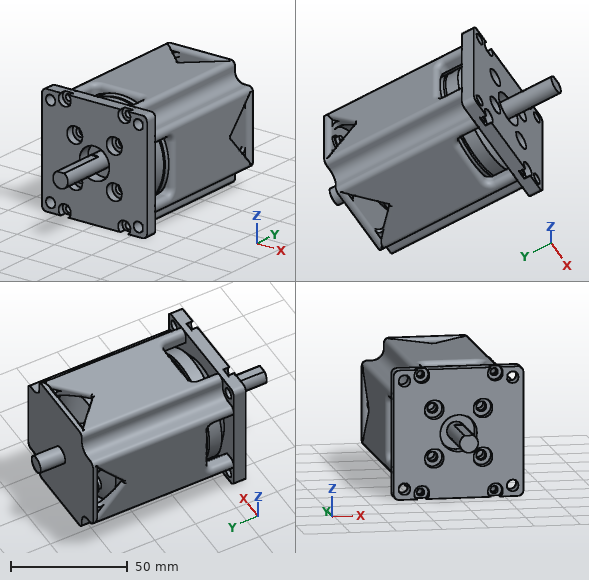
import cadquery as cq
import math


housing_width = 56.4
half_width = housing_width / 2
housing_length = 75.0
flange_thickness = 6.0
rear_wall = 3.0
cavity_end = housing_length - rear_wall
cavity_diameter = 52.0
edge_radius = 2.4

corner_hole_offset = 23.5
corner_hole_diameter = 5.0
channel_radius = 5.0
shaft_bore_diameter = 16.0
mount_circle_diameter = 30
mount_hole_diameter = 4.3
mount_head_diameter = 8.2
mount_head_depth = 4.0
cover_screw_x = 16.0
cover_screw_z = 25.6
cover_head_diameter = 6.5
cover_head_depth = 3.0
cover_hole_diameter = 3.2
cover_thread_diameter = 2.7
cover_thread_depth = 15.5
drill_tip_angle = 118

front_window_half_width = 13.4
front_window_end = 18.3
front_window_corner_radius = 3.0
rear_window_apex_y = 58.4
rear_window_apex_half_width = 1.0
rear_window_slope = 42.3
rear_wall_lip_radius = 2.0
sloping_lip_radius = 1.3
rear_window_corner_radius = 1.9
window_depth = 8.9

stud_x = -22.2
stud_diameter = 6.1
stud_length = 2.8
stud_hole_diameter = 2.7
stud_foot_diameter = 8.0
stud_foot_length = 1.0

shaft_diameter = 8.0
shaft_front_length = 24.0
shaft_rear_length = 12.0
shaft_flat_depth = 0.5
can_diameter = 50
base_end_diameter = 40
base_cone_end = 10.0
base_end = 16.1
can_start = 17.1
groove_diameter = 44.4
can_cone_start = 62.0
can_end = 67.2
can_end_diameter = 30
hub_diameter = 14.0
hub_end = 71.0
mount_thread_diameter = 4.0
mount_thread_depth = 5.0

QUADRANTS = [(sx, sz) for sx in (-1, 1) for sz in (-1, 1)]


def cylinder_y(diameter, start, end, x=0.0, z=0.0):
    """Cylinder parallel to Y between two Y positions."""
    return cq.Workplane(cq.Solid.makeCylinder(
        diameter / 2, end - start, cq.Vector(x, start, z), cq.Vector(0, 1, 0)))


def cone_y(start_diameter, end_diameter, start, end, x=0.0, z=0.0):
    """Cone parallel to Y between two Y positions."""
    return cq.Workplane(cq.Solid.makeCone(
        start_diameter / 2, end_diameter / 2, end - start, cq.Vector(x, start, z), cq.Vector(0, 1, 0)))


def square_block(start, end):
    return (
        cq.Workplane("XY")
        .box(housing_width, end - start, housing_width, centered=(True, False, True))
        .translate((0, start, 0))
    )


def flange():
    return square_block(0, flange_thickness).edges("|Y").fillet(edge_radius)


def shell_body():
    """Square bar with a rounded channel along each corner, in line with the corner holes."""
    body = square_block(flange_thickness, housing_length)
    channel_wall = corner_hole_offset - channel_radius
    channel_size = 2 * (half_width - channel_wall)
    channel = (
        cq.Workplane("XY")
        .box(channel_size, housing_length, channel_size, centered=(True, False, True))
        .edges("|Y").fillet(channel_radius)
    )
    for sx, sz in QUADRANTS:
        body = body.cut(channel.translate((sx * half_width, 0, sz * half_width)))
    return body.faces(">X or <X or >Z or <Z").edges("|Y").fillet(edge_radius)


def front_window():
    """Rounded window in the +Z side next to the flange, with a rounded lip at the outer face."""
    window_floor = half_width - window_depth
    block = (
        cq.Workplane("XY", origin=(0, 0, window_floor))
        .rect(housing_width, housing_width)
        .extrude(window_depth)
    )
    window = (
        cq.Workplane("XY", origin=(0, 0, window_floor))
        .rect(2 * front_window_half_width, 2 * front_window_end)
        .extrude(window_depth)
        .edges("|Z").fillet(front_window_corner_radius)
    )
    around_window = cq.selectors.BoxSelector(
        (-front_window_half_width - edge_radius, -front_window_end - edge_radius, 0),
        (front_window_half_width + edge_radius, front_window_end + edge_radius, housing_width))
    frame = block.cut(window).faces(">Z").edges(around_window).fillet(edge_radius)
    return block.cut(frame).intersect(square_block(flange_thickness, housing_length))


def lip_region(edge_x, edge_y, direction, lip_radius):
    """Space on one side of a straight wall in the +Z face, widened by a rounded lip.

    The lip meets the outer face at (edge_x, edge_y); the space extends away from the wall,
    in the given direction in degrees from +X.
    """
    region = (
        cq.Workplane("XZ")
        .moveTo(0, 0)
        .radiusArc((lip_radius, -lip_radius), lip_radius)
        .lineTo(lip_radius, -window_depth)
        .lineTo(housing_length, -window_depth)
        .lineTo(housing_length, 0)
        .close()
        .extrude(housing_length, both=True)
    )
    return region.rotate((0, 0, 0), (0, 0, 1), direction).translate((edge_x, edge_y, half_width))


def rear_window():
    """Triangular window in the +Z side: its base lies along the rear wall, its tip points to the flange."""
    right_side = 90 + rear_window_slope
    left_side = 90 - rear_window_slope
    window = (
        lip_region(0, cavity_end + rear_wall_lip_radius, -90, rear_wall_lip_radius)
        .intersect(lip_region(0, rear_window_apex_y, 90, sloping_lip_radius))
        .intersect(lip_region(rear_window_apex_half_width, rear_window_apex_y, right_side, sloping_lip_radius))
        .intersect(lip_region(-rear_window_apex_half_width, rear_window_apex_y, left_side, sloping_lip_radius))
    )
    below_lips = half_width - max(rear_wall_lip_radius, sloping_lip_radius)
    straight_part = window.intersect(
        cq.Workplane("XY", origin=(0, 0, below_lips))
        .rect(2 * housing_length, 2 * housing_length)
        .extrude(-window_depth)
    )
    rounded_part = straight_part.edges("|Z").edges(">X or <X").fillet(rear_window_corner_radius)
    return window.cut(straight_part).union(rounded_part)


def cover_screw_hole(x, z):
    """Counterbored blind hole with a drill tip."""
    tip_length = cover_thread_diameter / 2 / math.tan(math.radians(drill_tip_angle / 2))
    return (
        cylinder_y(cover_head_diameter, 0, cover_head_depth, x, z)
        .union(cylinder_y(cover_hole_diameter, 0, flange_thickness, x, z))
        .union(cylinder_y(cover_thread_diameter, 0, cover_thread_depth, x, z))
        .union(cone_y(cover_thread_diameter, 0, cover_thread_depth, cover_thread_depth + tip_length, x, z))
    )


def mount_positions():
    offset = mount_circle_diameter / 2 * math.sqrt(0.5)
    return [(sx * offset, sz * offset) for sx, sz in QUADRANTS]


def rear_stud():
    """Stepped stud with a hole down its middle, standing on the rear wall."""
    stud_end = cavity_end - stud_length
    return (
        cylinder_y(stud_diameter, stud_end, cavity_end, stud_x)
        .union(cylinder_y(stud_foot_diameter, cavity_end - stud_foot_length, cavity_end, stud_x))
        .cut(cylinder_y(stud_hole_diameter, stud_end, cavity_end, stud_x))
    )


def make_housing():
    body = shell_body()
    for turn in range(4):
        for window in (front_window(), rear_window()):
            body = body.cut(window.rotate((0, 0, 0), (0, 1, 0), 90 * turn))
    body = body.cut(cylinder_y(cavity_diameter, flange_thickness, cavity_end))
    body = body.union(flange())

    body = body.cut(cylinder_y(shaft_bore_diameter, 0, flange_thickness))
    body = body.cut(cylinder_y(shaft_diameter, cavity_end, housing_length))
    body = body.union(rear_stud())
    for sx, sz in QUADRANTS:
        x, z = sx * corner_hole_offset, sz * corner_hole_offset
        body = body.cut(cylinder_y(corner_hole_diameter, 0, flange_thickness, x, z))
        body = body.cut(cover_screw_hole(sx * cover_screw_x, sz * cover_screw_z))
    for x, z in mount_positions():
        body = body.cut(cylinder_y(mount_hole_diameter, 0, flange_thickness, x, z))
        body = body.cut(cylinder_y(mount_head_diameter, 0, mount_head_depth, x, z))
    return body


def make_motor():
    """Fixed base, rotating can and through shaft, as one turned body."""
    shaft = cylinder_y(shaft_diameter, -shaft_front_length, housing_length + shaft_rear_length)
    flat = (
        cq.Workplane("XY")
        .box(shaft_diameter, shaft_front_length, shaft_diameter, centered=(True, False, False))
        .translate((0, -shaft_front_length, shaft_diameter / 2 - shaft_flat_depth))
    )
    motor = (
        shaft.cut(flat)
        .union(cone_y(base_end_diameter, can_diameter, flange_thickness, base_cone_end))
        .union(cylinder_y(can_diameter, base_cone_end, base_end))
        .union(cylinder_y(groove_diameter, base_end, can_start))
        .union(cylinder_y(can_diameter, can_start, can_cone_start))
        .union(cone_y(can_diameter, can_end_diameter, can_cone_start, can_end))
        .union(cylinder_y(hub_diameter, can_end, hub_end))
    )
    for x, z in mount_positions():
        motor = motor.cut(cylinder_y(
            mount_thread_diameter, flange_thickness, flange_thickness + mount_thread_depth, x, z))
    return motor


housing = make_housing()
motor = make_motor()
result = cq.Compound.makeCompound([housing.val(), motor.val()])